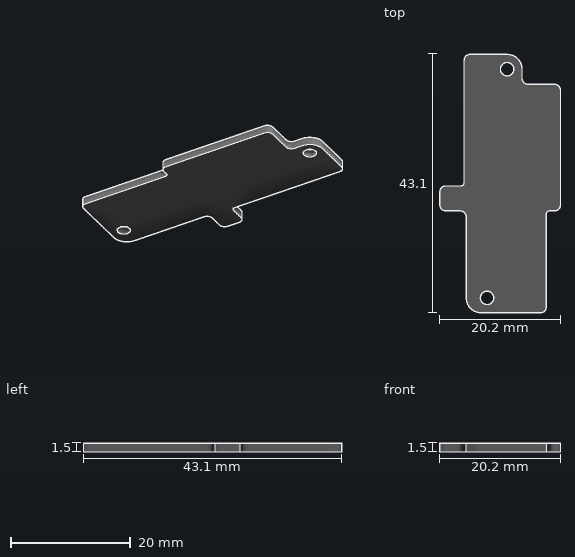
import cadquery as cq

overall_width = 20.16
overall_length = 43.15
thickness = 1.5

tab_bottom = 17.0
tab_height = 4.2
tab_top = tab_bottom + tab_height

body_left = 4.05
ear_right = 13.75
shoulder_drop = 5.0
shoulder_y = overall_length - shoulder_drop

lower_left = 4.4
lower_width = 13.4
lower_right = lower_left + lower_width

large_radius = 2.5
corner_radius = 1.0
small_radius = 0.5

hole_diameter = 2.2
hole_edge_distance = 2.5
lower_hole_inset = 3.5
hole_centers = [
    (ear_right - hole_edge_distance, overall_length - hole_edge_distance),
    (lower_left + lower_hole_inset, hole_edge_distance),
]

corners = [
    (lower_left, 0, large_radius),
    (lower_right, 0, corner_radius),
    (lower_right, tab_bottom, small_radius),
    (overall_width, tab_bottom, corner_radius),
    (overall_width, shoulder_y, corner_radius),
    (ear_right, shoulder_y, corner_radius),
    (ear_right, overall_length, large_radius),
    (body_left, overall_length, corner_radius),
    (body_left, tab_top, small_radius),
    (0, tab_top, corner_radius),
    (0, tab_bottom, corner_radius),
    (lower_left, tab_bottom, corner_radius),
]


def make_plate():
    """Extrude the sharp outline, then round each upright edge."""
    outline = [(x, y) for x, y, _ in corners]
    plate = cq.Workplane("XY").polyline(outline).close().extrude(thickness)
    for x, y, radius in corners:
        upright_edge = cq.selectors.NearestToPointSelector((x, y, thickness / 2))
        plate = plate.edges("|Z").edges(upright_edge).fillet(radius)
    return plate


def cut_mounting_holes(plate):
    """Cut the round through holes."""
    drills = cq.Workplane("XY").pushPoints(hole_centers).circle(hole_diameter / 2).extrude(thickness)
    return plate.cut(drills)


result = cut_mounting_holes(make_plate())